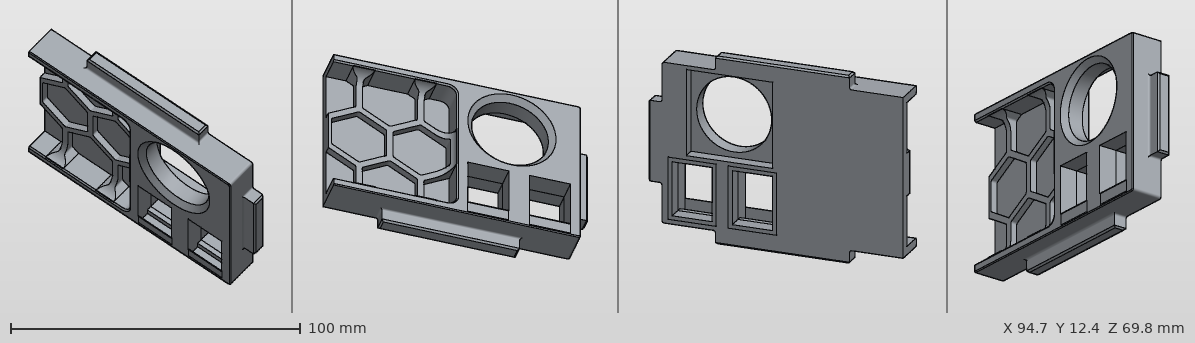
import cadquery as cq
import math


plate_length = 89.7
plate_height = 59.8
plate_depth = 12.4
edge_chamfer = 0.4
corner_radius = 1.0

overall_length = 94.7
tab_reach = overall_length - plate_length
tab_depth = 5.0
long_tab_length = 49.9
short_tab_length = 30.0
tab_chamfer = 0.7
tab_root_radius = 0.8

pocket_length = 44.7
pocket_height = 53.4
pocket_rim_chamfer = 0.6
pocket_corner_radius = 3.5
pocket_depth = 8.8
rib_height = 2.6
rib_top_depth = pocket_depth - rib_height
cove_radius = 6.0
hex_width = 20.0
hex_gap = 2.4
hex_corner_radius = 0.9
hex_pitch = hex_width + hex_gap
hex_row_pitch = hex_pitch * math.sqrt(3) / 2

bore_x = 64.6
bore_z = 12.4
bore_radius = 13.9
bore_chamfer = 2.1
bore_depth = 8.0
recess_width = 2 * (bore_radius + bore_chamfer)

window_width = 14.9
window_height = 18.1
window_top = -6.6
window_bottom = window_top - window_height
window_centers_x = (56.1, 78.4)
window_lip = 0.3
catch_front = 5.2
catch_drop = 2.0
undercut_drop = 4.1
frame_front = 7.1
frame_wall = 1.5


def block(x_range, y_range, z_range):
    """Rectangular solid between the given limits."""
    sizes = [high - low for low, high in (x_range, y_range, z_range)]
    corner = (x_range[0], y_range[0], z_range[0])
    return cq.Workplane("XY").box(*sizes, centered=False).translate(corner)


def make_plate_block():
    half = plate_height / 2
    plate = block((0, plate_length), (0, plate_depth), (-half, half))
    plate = plate.edges("|Y and >X").fillet(corner_radius)
    return plate.faces("<Y").edges("not <X").chamfer(edge_chamfer)


def make_tab(length):
    """Tab rising along +Z from Z = 0, centred on X = 0, with a concave fillet at its root."""
    half = length / 2
    front = plate_depth - tab_depth
    tab = block((-half, half), (front, plate_depth), (0, tab_reach))
    footing = block((-length, length), (0, plate_depth), (-tab_reach, 0))
    root = cq.selectors.BoxSelector(
        (-half - tab_root_radius, front - tab_root_radius, -tab_root_radius),
        (half + tab_root_radius, plate_depth - tab_root_radius, tab_root_radius),
    )
    tab = footing.union(tab).edges("#Z").edges(root).fillet(tab_root_radius).cut(footing)
    return tab.faces(">Z").edges().chamfer(tab_chamfer)


def add_tabs(plate):
    middle_x = plate_length / 2
    half = plate_height / 2
    long_tab = make_tab(long_tab_length).translate((middle_x, 0, half))
    right_tab = make_tab(short_tab_length).rotate((0, 0, 0), (0, 1, 0), 90)
    right_tab = right_tab.translate((plate_length, 0, 0))
    return plate.union(long_tab).union(long_tab.mirror("XY")).union(right_tab)


def pocket_outline(y_range, margin=0.0):
    """Block with the outline of the pocket, grown outward by margin."""
    half = pocket_height / 2 + margin
    outline = block((0, pocket_length + margin), y_range, (-half, half))
    return outline.edges("|Y and >X").fillet(pocket_corner_radius + margin)


def hexagon(y_range):
    """Hexagonal prism along Y with rounded corners, two of them at its top and bottom."""
    diameter = hex_width * 2 / math.sqrt(3)
    prism = cq.Workplane("XZ").polygon(6, diameter).extrude(-(y_range[1] - y_range[0]))
    prism = prism.rotate((0, 0, 0), (0, 1, 0), 30).edges("|Y").fillet(hex_corner_radius)
    return prism.translate((0, y_range[0], 0))


def make_cells():
    """Honeycomb of hexagonal cells in three staggered rows, clipped by the pocket walls."""
    cells = []
    pocket = pocket_outline((0, pocket_depth))
    for row in (-1, 0, 1):
        first_x = 0 if row else hex_pitch / 2
        columns = 3 if row else 2
        for column in range(columns):
            x = first_x + column * hex_pitch
            cell = hexagon((0, pocket_depth)).translate((x, 0, row * hex_row_pitch))
            cells.append(cell.intersect(pocket))
    return cells


def cove(length):
    """Concave fillet bar along X, against a wall at Z = 0 above it, resting on the rib tops."""
    diagonal = cove_radius * (1 - math.sqrt(0.5))
    return (
        cq.Workplane("YZ")
        .moveTo(rib_top_depth, 0)
        .lineTo(rib_top_depth, -cove_radius)
        .threePointArc((rib_top_depth - diagonal, -diagonal), (rib_top_depth - cove_radius, 0))
        .close()
        .extrude(length)
    )


def make_ribs():
    """Ribs left standing between the cells, sweeping up to the pocket walls in coves."""
    ribs = pocket_outline((rib_top_depth, pocket_depth))
    top_cove = cove(pocket_length).translate((0, 0, pocket_height / 2))
    end_cove = cove(pocket_height).rotate((0, 0, 0), (0, 1, 0), 90)
    end_cove = end_cove.translate((pocket_length, 0, pocket_height / 2))
    ribs = ribs.union(top_cove).union(top_cove.mirror("XY")).union(end_cove)
    ribs = ribs.intersect(pocket_outline((0, pocket_depth)))
    for cell in make_cells():
        ribs = ribs.cut(cell)
    return ribs


def add_honeycomb_pocket(plate):
    rim = pocket_outline((-pocket_rim_chamfer, pocket_rim_chamfer), pocket_rim_chamfer)
    rim = rim.faces(">Y").edges("not <X").chamfer(pocket_rim_chamfer)
    plate = plate.cut(pocket_outline((0, pocket_depth))).cut(rim)
    return plate.union(make_ribs())


def cut_round_hole(plate):
    bore = cq.Workplane("XZ").center(bore_x, bore_z).circle(bore_radius).extrude(-plate_depth)
    mouth = cq.Workplane("XZ").center(bore_x, bore_z).circle(bore_radius + bore_chamfer)
    mouth = mouth.extrude(-bore_chamfer, taper=45)
    half = recess_width / 2
    recess = block(
        (bore_x - half, bore_x + half), (bore_depth, plate_depth), (bore_z - half, bore_z + half)
    )
    return plate.cut(bore).cut(mouth).cut(recess)


def frame_outline(x):
    """Recess in the back of the plate that holds the frame of the window centred on x."""
    half = window_width / 2 + frame_wall
    heights = (window_bottom - catch_drop - frame_wall, window_top + frame_wall)
    return block((x - half, x + half), (frame_front, plate_depth), heights)


def window_passage(x):
    """Clear opening of the window, lowered behind the front lip to form a catch."""
    width = (x - window_width / 2, x + window_width / 2)
    front = block(width, (0, plate_depth), (window_bottom, window_top))
    undercut = block(width, (window_lip, catch_front), (window_bottom - undercut_drop, window_top))
    rear = block(width, (window_lip, plate_depth), (window_bottom - catch_drop, window_top))
    return front.union(undercut).union(rear)


def make_window_frame(x):
    return frame_outline(x).cut(window_passage(x))


def make_plate():
    plate = add_tabs(make_plate_block())
    plate = add_honeycomb_pocket(plate)
    plate = cut_round_hole(plate)
    for x in window_centers_x:
        plate = plate.cut(window_passage(x)).cut(frame_outline(x))
    return plate


plate = make_plate()
window_frames = [make_window_frame(x) for x in window_centers_x]
result = cq.Compound.makeCompound([plate.val(), *[frame.val() for frame in window_frames]])